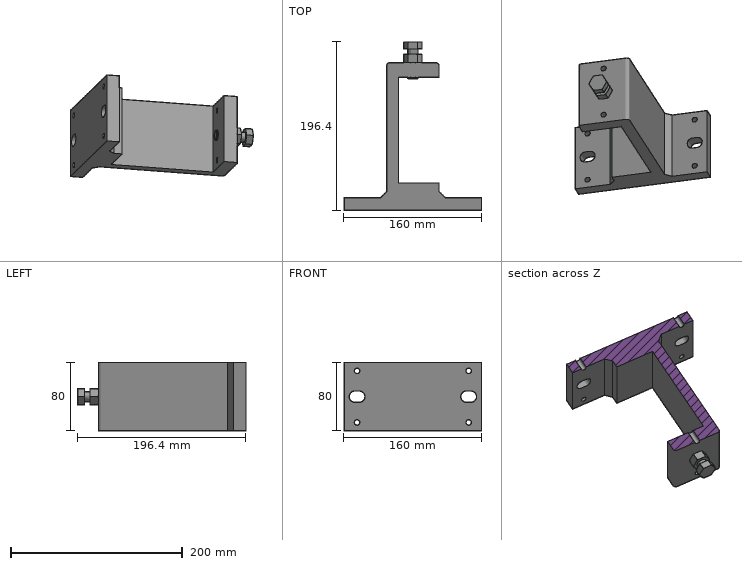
import cadquery as cq
import math

base_width = 160.0
height = 80.0
base_thickness = 15.0

hook_width = 61.3
web_thickness = 14.0
pad_top = 32.0
base_chamfer = 7.0
arm_inner = 155.2
arm_outer = 172.2
arm_corner_radius = 4.0

pin_diameter = 6.0
pin_spacing_x = 130.0
pin_spacing_z = 60.1
slot_length = 18.0
slot_width = 13.0

bolt_diameter = 12.0
across_flats = 18.9
nut_thickness = 9.8
head_bottom = 188.2
bolt_top = 196.4
bolt_tip = 153.2
tip_chamfer = 0.8
hex_corner_chamfer = 0.5

across_corners = across_flats / math.cos(math.pi / 6)


def plane_at(y):
    """XZ sketch plane at the given Y; extrusion goes towards +Y."""
    return cq.Workplane(cq.Plane(origin=(0, y, 0), xDir=(1, 0, 0), normal=(0, 1, 0)))


def make_bracket():
    half_base = base_width / 2
    half_hook = hook_width / 2
    half_foot = half_hook + base_chamfer
    web_inner = web_thickness - half_hook
    chamfer_top = base_thickness + base_chamfer
    profile = [
        (-half_base, 0),
        (half_base, 0),
        (half_base, base_thickness),
        (half_foot, base_thickness),
        (half_hook, chamfer_top),
        (half_hook, pad_top),
        (web_inner, pad_top),
        (web_inner, arm_inner),
        (half_hook, arm_inner),
        (half_hook, arm_outer),
        (-half_hook, arm_outer),
        (-half_hook, chamfer_top),
        (-half_foot, base_thickness),
        (-half_base, base_thickness),
    ]
    body = cq.Workplane("XY").polyline(profile).close().extrude(height / 2, both=True)
    return body.faces(">Y").edges("|Z").fillet(arm_corner_radius)


def base_holes():
    pins = (
        plane_at(0)
        .rarray(pin_spacing_x, pin_spacing_z, 2, 2)
        .circle(pin_diameter / 2)
        .extrude(base_thickness)
    )
    slots = (
        plane_at(0)
        .rarray(pin_spacing_x, 2, 2, 1)
        .slot2D(slot_length, slot_width)
        .extrude(base_thickness)
    )
    return pins.union(slots)


def arm_holes():
    return (
        plane_at(arm_inner)
        .rarray(2, pin_spacing_z, 1, 2)
        .circle(pin_diameter / 2)
        .extrude(arm_outer - arm_inner)
    )


def hexagon(bottom, top, chamfered_faces):
    """Hexagonal prism with corners along X, turned down at the given end faces."""
    length = top - bottom
    prism = plane_at(bottom).polygon(6, across_corners).extrude(length)
    turned = plane_at(bottom).circle(across_corners / 2).extrude(length)
    turned = turned.faces(chamfered_faces).chamfer(hex_corner_chamfer)
    return prism.intersect(turned)


def make_bolt():
    shank = plane_at(bolt_tip).circle(bolt_diameter / 2).extrude(head_bottom - bolt_tip)
    shank = shank.faces("<Y").chamfer(tip_chamfer)
    head = hexagon(head_bottom, bolt_top, ">Y")
    nut = hexagon(arm_outer, arm_outer + nut_thickness, "<Y or >Y")
    return shank.union(head).union(nut)


result = make_bracket().cut(base_holes()).cut(arm_holes()).union(make_bolt())